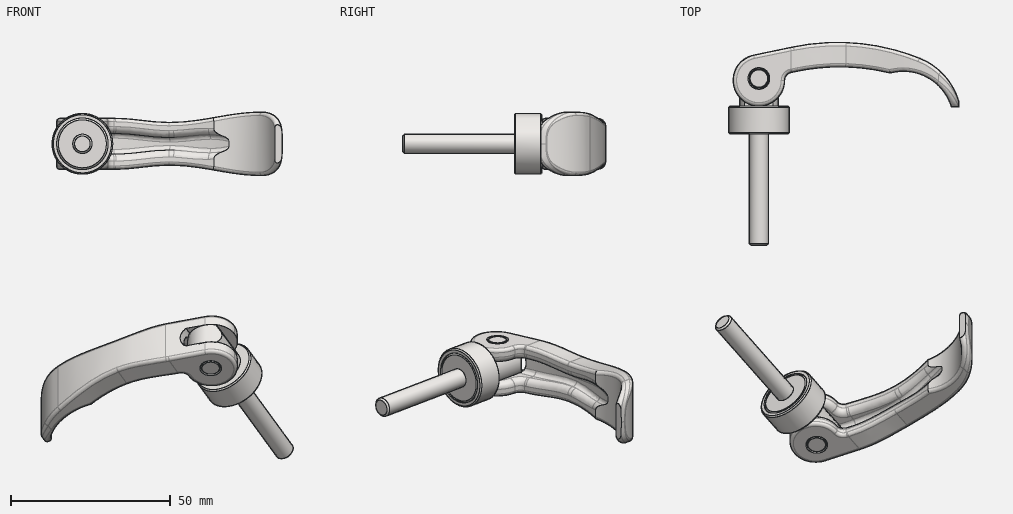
import cadquery as cq
import math


fork_width = 16.0
cam_radius = 8.1
cam_drop = 0.6
slot_width = 7.5
slot_corner_x = 4.3
slot_end_x = 6.2

arm_apex_x = 24.7
back_apex_y = 11.3
back_radius = 68.6
back_end_angle = math.radians(22)
tip_radius = 20.95
tip_y = -8.9
belly_apex_y = 3.6
belly_radius = 61.4
scoop_center = (45.3, -13.4)
scoop_radius = 15.7
kink_x = 41.15

arm_start_x = 10.1
waist_x = 27.2
waist_half_width = 6.7
spoon_x = 56.3
spoon_half_width = 9.95
nose_corner = (60.8, 8.2)
nose_x = 62.7
edge_fillet = 1.1

groove_start_x = 3.6
groove_start_y = 5.8
groove_half_width = 3.25
groove_waist_y = 7.4
groove_waist_half_width = 1.95
groove_mouth_x = 39.7
groove_mouth_half_width = 2.9
groove_end_x = 49.1
groove_end_y = 0.7
groove_end_half_width = 1.1
groove_floor_fillet = 1.45
groove_rim_fillet = 2.2

pin_radius = 3.0
hole_chamfer = 0.35

collar_radius = 9.5
collar_height = 8.7
collar_top_y = -cam_drop - cam_radius
collar_bottom_y = collar_top_y - collar_height
collar_chamfer = 0.4
neck_radius = 6.1
neck_end_radius = 7.45
neck_foot_width = 8.2

stud_radius = 3.0
stud_end_y = -52.3
flange_radius = 8.1
flange_height = 2.9
bolt_chamfer = 0.6
pin_chamfer = 0.3

cut_reach = 28.9


def on_circle(center, radius, angle):
    """Point of a circle in the given direction."""
    return (center[0] + radius * math.cos(angle), center[1] + radius * math.sin(angle))


def y_cylinder(radius, low_y, high_y):
    """Cylinder about the clamping axis between two heights."""
    return cq.Workplane("XZ", origin=(0, high_y, 0)).circle(radius).extrude(high_y - low_y)


def z_cylinder(radius, length, center_y=0.0):
    """Cylinder parallel to the pivot axis, centred on the mid-plane."""
    return cq.Workplane("XY", origin=(0, center_y, -length / 2)).circle(radius).extrude(length)


def lever_profile():
    """Side outline of the lever, a chain of tangent arcs with one kink, wider than the spoon."""
    up = math.pi / 2
    cam = (0, -cam_drop)
    back = (arm_apex_x, back_apex_y - back_radius)
    center_gap = math.dist(cam, back)
    neck_lean = math.acos((back_radius - cam_radius) / center_gap)
    neck_normal = math.atan2(cam[1] - back[1], cam[0] - back[0]) - neck_lean
    tip = on_circle(back, back_radius - tip_radius, up - back_end_angle)
    tip_end = math.asin((tip_y - tip[1]) / tip_radius)
    belly = (arm_apex_x, belly_apex_y - belly_radius)
    run = arm_apex_x - cam_radius
    rise = cam[1] - belly[1]
    throat_radius = (belly_radius**2 - run**2 - rise**2) / (2 * (belly_radius - run))
    throat = (cam_radius + throat_radius, cam[1])
    throat_end = math.atan2(throat[1] - belly[1], throat[0] - belly[0])
    scoop_tip = math.asin((tip_y - scoop_center[1]) / scoop_radius)
    scoop_start = math.acos((kink_x - scoop_center[0]) / scoop_radius)
    return (
        cq.Workplane("XY", origin=(0, 0, -cut_reach))
        .moveTo(*on_circle(cam, cam_radius, neck_normal))
        .lineTo(*on_circle(back, back_radius, neck_normal))
        .threePointArc(on_circle(back, back_radius, up), on_circle(back, back_radius, up - back_end_angle))
        .threePointArc(
            on_circle(tip, tip_radius, (up - back_end_angle + tip_end) / 2), on_circle(tip, tip_radius, tip_end)
        )
        .lineTo(*on_circle(scoop_center, scoop_radius, scoop_tip))
        .threePointArc(
            on_circle(scoop_center, scoop_radius, (scoop_tip + scoop_start) / 2),
            on_circle(scoop_center, scoop_radius, scoop_start),
        )
        .threePointArc((arm_apex_x, belly_apex_y), on_circle(throat, throat_radius, throat_end))
        .threePointArc(on_circle(throat, throat_radius, (throat_end + math.pi) / 2), (cam_radius, cam[1]))
        .threePointArc((0, cam[1] - cam_radius), (-cam_radius, cam[1]))
        .threePointArc(
            on_circle(cam, cam_radius, (math.pi + neck_normal) / 2), on_circle(cam, cam_radius, neck_normal)
        )
        .close()
        .extrude(2 * cut_reach)
    )


def lever_planform():
    """Half of the waisted outline of the lever seen along the clamping axis."""
    ahead = (1, 0)
    return (
        cq.Workplane("XZ", origin=(0, cut_reach, 0))
        .moveTo(-cut_reach, 0)
        .lineTo(-cut_reach, fork_width / 2)
        .lineTo(arm_start_x, fork_width / 2)
        .spline([(waist_x, waist_half_width)], tangents=[ahead, ahead], includeCurrent=True)
        .spline([(spoon_x, spoon_half_width)], tangents=[ahead, ahead], includeCurrent=True)
        .spline([nose_corner, (nose_x, 0)], tangents=[ahead, (0, -1)], includeCurrent=True)
        .close()
        .extrude(2 * cut_reach)
    )


def half_groove():
    """Half of the groove, waisted like the arm, with a rounded floor running out in the scoop."""
    ahead = (1, 0)
    closing = (1, -0.3)
    plan = (
        cq.Workplane("XZ", origin=(0, cut_reach, 0))
        .moveTo(groove_start_x, -fork_width)
        .lineTo(groove_start_x, groove_half_width)
        .lineTo(arm_start_x, groove_half_width)
        .spline([(waist_x, groove_waist_half_width)], tangents=[ahead, ahead], includeCurrent=True)
        .spline([(groove_mouth_x, groove_mouth_half_width)], tangents=[ahead, ahead], includeCurrent=True)
        .spline([(groove_end_x + 0.7, groove_end_half_width)], tangents=[ahead, closing], includeCurrent=True)
        .lineTo(groove_end_x + 0.7, -fork_width)
        .close()
        .extrude(2 * cut_reach)
    )
    floor = (
        cq.Workplane("XY", origin=(0, 0, -fork_width / 2))
        .moveTo(0, -cut_reach)
        .lineTo(0, groove_start_y)
        .lineTo(groove_start_x, groove_start_y)
        .threePointArc((waist_x, groove_waist_y), (groove_end_x, groove_end_y))
        .lineTo(groove_end_x, -cut_reach)
        .close()
        .extrude(fork_width)
    )
    floor_corners = cq.selectors.BoxSelector((groove_start_x + 0.7, 0, 0), (groove_end_x - 0.7, cut_reach, fork_width))
    groove = plan.intersect(floor)
    return groove.edges("not(|Y or |Z)").edges(floor_corners).fillet(groove_floor_fillet)


def fork_slot():
    """Slot that lets the lever swing past the collar neck, with a rounded inner end."""
    half_width = slot_width / 2
    return (
        cq.Workplane("XZ", origin=(0, cut_reach, 0))
        .moveTo(-cut_reach, -half_width)
        .lineTo(slot_corner_x, -half_width)
        .threePointArc((slot_end_x, 0), (slot_corner_x, half_width))
        .lineTo(-cut_reach, half_width)
        .close()
        .extrude(2 * cut_reach)
    )


def half_pivot_hole():
    """Upper half of the pin hole, countersunk at the cheek face."""
    face_z = fork_width / 2
    return (
        cq.Workplane("XZ")
        .lineTo(pin_radius, 0)
        .lineTo(pin_radius, face_z - hole_chamfer)
        .lineTo(pin_radius + hole_chamfer, face_z)
        .lineTo(0, face_z)
        .close()
        .revolve(360, (0, 0), (0, 1))
    )


def make_lever():
    """Grooved and slotted lever with rounded edges, made as one half and mirrored."""
    half = lever_profile().intersect(lever_planform()).cut(half_groove())
    groove_rim = cq.selectors.BoxSelector(
        (slot_end_x, -cam_radius, 0.1), (kink_x, belly_apex_y - 0.01, groove_half_width + 0.1)
    )
    half = half.edges("not(|Y or |Z)").edges(groove_rim).fillet(groove_rim_fillet)
    outer_rim = cq.selectors.BoxSelector((-cut_reach, -cut_reach, 6.15), (2 * cut_reach, cut_reach, fork_width))
    half = half.edges("not(|Y or |Z)").edges(outer_rim).fillet(edge_fillet)
    half = half.cut(half_pivot_hole()).cut(fork_slot())
    return half.union(half.mirror("XY"))


def collar_neck():
    """Flat-sided neck: a foot that straddles the cam and a round-ended tongue in the fork slot."""
    post = y_cylinder(neck_radius, collar_top_y, neck_end_radius)
    tongue_plate = (
        cq.Workplane("XY", origin=(0, 0, -slot_width / 2))
        .moveTo(-neck_end_radius, collar_top_y)
        .lineTo(-neck_end_radius, 0)
        .threePointArc((0, neck_end_radius), (neck_end_radius, 0))
        .lineTo(neck_end_radius, collar_top_y)
        .close()
        .extrude(slot_width)
    )
    foot_plate = cq.Workplane("XY").box(2 * neck_radius, -2 * collar_top_y, neck_foot_width)
    foot_height = y_cylinder(neck_radius, collar_top_y, 0)
    foot = foot_height.intersect(foot_plate).cut(z_cylinder(cam_radius, cut_reach, -cam_drop))
    return post.intersect(tongue_plate).union(foot)


def make_collar(bolt):
    """Cup with the neck on top, bored to fit the bolt that passes through it."""
    cup = y_cylinder(collar_radius, collar_bottom_y, collar_top_y).edges().chamfer(collar_chamfer)
    flange_seat = y_cylinder(flange_radius, collar_bottom_y, collar_bottom_y + flange_height)
    return cup.union(collar_neck()).cut(flange_seat).cut(bolt)


def make_clamp_bolt():
    """Pivot pin and stud forming a T, with a flange on the stud."""
    pin = z_cylinder(pin_radius, fork_width).edges().chamfer(pin_chamfer)
    stud = y_cylinder(stud_radius, stud_end_y, 0).edges("<Y").chamfer(bolt_chamfer)
    flange = y_cylinder(flange_radius, collar_bottom_y, collar_bottom_y + flange_height)
    flange = flange.edges("<Y").chamfer(bolt_chamfer)
    return pin.union(stud).union(flange)


lever = make_lever()
clamp_bolt = make_clamp_bolt()
collar = make_collar(clamp_bolt)
result = cq.Compound.makeCompound([lever.val(), collar.val(), clamp_bolt.val()])